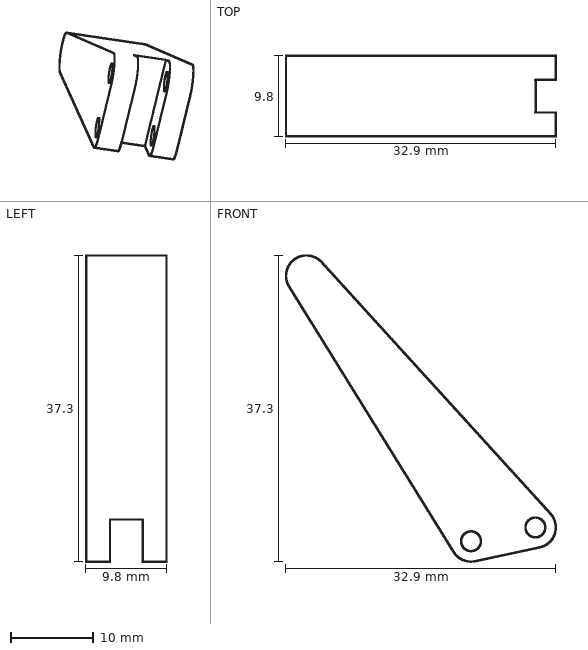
import cadquery as cq
import math

length_x = 32.85
width_y = 9.8
height_z = 37.28

corner_radius = 2.5
pivot_diameter = 2.4
pivot_rise = 1.68
left_pivot_x = 22.5

slot_width = 3.95
slot_floor_distance = 3.55

tip = (corner_radius, height_z - corner_radius)
left_pivot = (left_pivot_x, corner_radius)
right_pivot = (length_x - corner_radius, corner_radius + pivot_rise)
corners = [left_pivot, right_pivot, tip]


def point_on_corner(center, angle):
    """Point on the corner circle at the given angle."""
    return (
        center[0] + corner_radius * math.cos(angle),
        center[1] + corner_radius * math.sin(angle),
    )


def outward_angle(start, end):
    """Direction of the outward normal of a counterclockwise edge."""
    return math.atan2(end[1] - start[1], end[0] - start[0]) - math.pi / 2


def extrude_across_width(sketch, width):
    """Extrude an XZ sketch symmetrically about the middle plane."""
    return sketch.extrude(width / 2, both=True)


def make_lever():
    first_angle = outward_angle(corners[-1], corners[0])
    profile = cq.Workplane("XZ").moveTo(*point_on_corner(corners[0], first_angle))
    for index, center in enumerate(corners):
        before = corners[index - 1]
        after = corners[(index + 1) % len(corners)]
        angle_in = outward_angle(before, center)
        turn = (outward_angle(center, after) - angle_in) % (2 * math.pi)
        profile = profile.threePointArc(
            point_on_corner(center, angle_in + turn / 2),
            point_on_corner(center, angle_in + turn),
        )
        if after != corners[0]:
            profile = profile.lineTo(*point_on_corner(after, angle_in + turn))
    return extrude_across_width(profile.close(), width_y)


def make_slot():
    """Slot cutter whose floor runs parallel to the line through the pivots."""
    middle = (
        (left_pivot[0] + right_pivot[0]) / 2,
        (left_pivot[1] + right_pivot[1]) / 2,
    )
    tilt = math.atan2(right_pivot[1] - left_pivot[1], right_pivot[0] - left_pivot[0])
    cutter_depth = slot_floor_distance + 2 * corner_radius
    cutter = (
        cq.Workplane("XY")
        .box(length_x, slot_width, cutter_depth)
        .translate((0, 0, slot_floor_distance - cutter_depth / 2))
        .rotate((0, 0, 0), (0, 1, 0), -math.degrees(tilt))
    )
    return cutter.translate((middle[0], 0, middle[1]))


def make_pivot_holes():
    holes = cq.Workplane("XZ").pushPoints([left_pivot, right_pivot])
    return extrude_across_width(holes.circle(pivot_diameter / 2), width_y)


result = make_lever().cut(make_slot()).cut(make_pivot_holes())